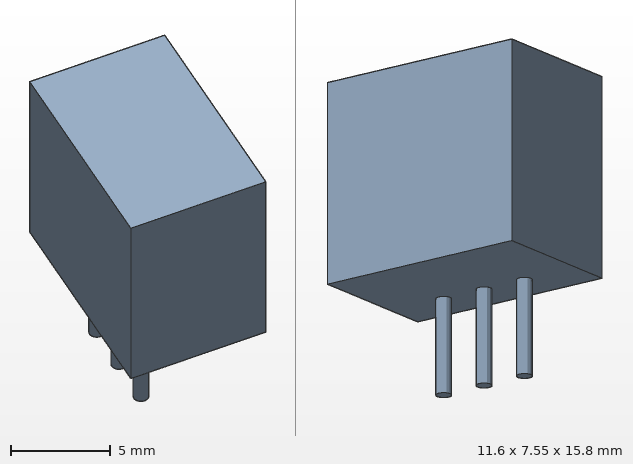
import cadquery as cq

width = 11.6
depth = 7.55
total_height = 15.76

pin_diameter = 0.8
pin_length = 5.09
pin_pitch = 2.54
pin_count = 3
pin_row_from_front = 2.16

housing_height = total_height - pin_length
pin_row_y = pin_row_from_front - depth / 2


def make_housing():
    """Plain rectangular block standing on the plane Z = 0."""
    return cq.Workplane("XY").box(width, depth, housing_height, centered=(True, True, False))


def make_pin(x):
    """Round pin hanging from the underside of the housing."""
    return cq.Workplane("XY").center(x, pin_row_y).circle(pin_diameter / 2).extrude(-pin_length)


housing = make_housing()
pins = []
for index in range(pin_count):
    pin_x = (index - (pin_count - 1) / 2) * pin_pitch
    pins.append(make_pin(pin_x).val())

result = cq.Compound.makeCompound([housing.val(), *pins])